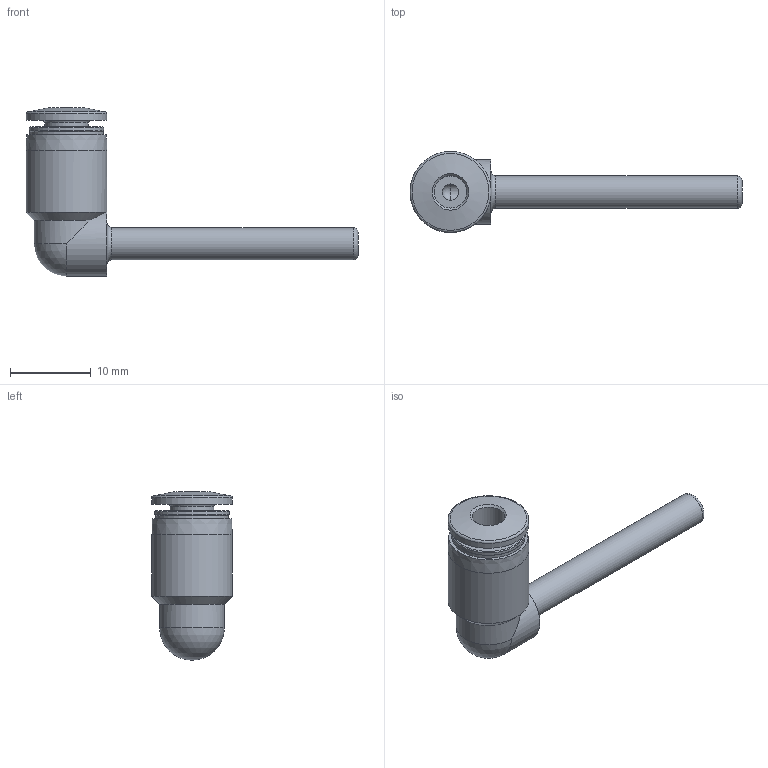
import cadquery as cq
import math


elbow_radius = 4.0
elbow_reach = 5.0

stem_radius = 2.0
stem_end = 36.0
stem_round = 0.6

body_radius = 5.0
body_cone_bottom = 2.9
body_cone_top = body_cone_bottom + body_radius - elbow_radius
body_straight_top = 11.5
body_top = 13.45
body_top_radius = 4.9
body_bulge_z = (body_straight_top + body_top) / 2
body_bulge_radius = body_radius - (body_radius - body_top_radius) / 4

collar_radius = 4.6
collar_lower_radius = 4.52
collar_step = collar_radius - collar_lower_radius
collar_lower_top = 13.85
collar_top = 14.44
collar_chamfer = 0.12

neck_radius = 2.7
button_radius = 5.0
button_bottom = 15.28
button_top = 16.79
button_rim_top = 16.28
button_rim_round = 0.25
neck_round = 0.35

tube_bore_radius = 2.0
tube_bore_floor = body_cone_top
mouth_chamfer = 0.25
passage_radius = 1.0


def round_point(center_x, center_y, radius, angle_degrees):
    """Point on a circular round at the given angle from the first axis."""
    angle = math.radians(angle_degrees)
    return center_x + radius * math.cos(angle), center_y + radius * math.sin(angle)


def make_bend(radius, top, reach):
    """Vertical and horizontal cylinders meeting in a spherical outer corner."""
    vertical = cq.Workplane("XY").circle(radius).extrude(top)
    horizontal = cq.Workplane("YZ").circle(radius).extrude(reach)
    return vertical.union(horizontal).union(cq.Workplane("XY").sphere(radius))


def make_body():
    """Socket body with a conical base and a slightly bulged upper end."""
    profile = (
        cq.Workplane("XZ")
        .moveTo(0, body_cone_bottom)
        .lineTo(elbow_radius, body_cone_bottom)
        .lineTo(body_radius, body_cone_top)
        .lineTo(body_radius, body_straight_top)
        .threePointArc((body_bulge_radius, body_bulge_z), (body_top_radius, body_top))
        .lineTo(0, body_top)
        .close()
    )
    return profile.revolve(360, (0, 0, 0), (0, 1, 0))


def make_collar():
    """Stepped ring standing out of the body mouth."""
    profile = (
        cq.Workplane("XZ")
        .moveTo(0, body_top)
        .lineTo(collar_lower_radius, body_top)
        .lineTo(collar_lower_radius, collar_lower_top)
        .lineTo(collar_radius, collar_lower_top + collar_step)
        .lineTo(collar_radius, collar_top - collar_chamfer)
        .lineTo(collar_radius - collar_chamfer, collar_top)
        .lineTo(0, collar_top)
        .close()
    )
    return profile.revolve(360, (0, 0, 0), (0, 1, 0))


def make_button():
    """Release button: neck, concave round, rounded rim and conical top."""
    rim_center_radius = button_radius - button_rim_round
    rim_round_bottom = button_rim_top - button_rim_round
    neck_round_bottom = button_bottom - neck_round
    neck_round_center = neck_radius + neck_round
    profile = (
        cq.Workplane("XZ")
        .moveTo(0, collar_top)
        .lineTo(neck_radius, collar_top)
        .lineTo(neck_radius, neck_round_bottom)
        .threePointArc(
            round_point(neck_round_center, neck_round_bottom, neck_round, 135),
            (neck_round_center, button_bottom),
        )
        .lineTo(button_radius, button_bottom)
        .lineTo(button_radius, rim_round_bottom)
        .threePointArc(
            round_point(rim_center_radius, rim_round_bottom, button_rim_round, 45),
            (rim_center_radius, button_rim_top),
        )
        .lineTo(tube_bore_radius + mouth_chamfer, button_top)
        .lineTo(0, button_top)
        .close()
    )
    return profile.revolve(360, (0, 0, 0), (0, 1, 0))


def make_stem():
    """Plug-in stem with a concave root round and a rounded free end."""
    root_end = elbow_reach + stem_round
    root_radius = stem_radius + stem_round
    tip_start = stem_end - stem_round
    tip_radius = stem_radius - stem_round
    profile = (
        cq.Workplane("XZ")
        .moveTo(elbow_reach, 0)
        .lineTo(elbow_reach, root_radius)
        .threePointArc(
            round_point(root_end, root_radius, stem_round, 225),
            (root_end, stem_radius),
        )
        .lineTo(tip_start, stem_radius)
        .threePointArc(
            round_point(tip_start, tip_radius, stem_round, 45),
            (stem_end, tip_radius),
        )
        .lineTo(stem_end, 0)
        .close()
    )
    return profile.revolve(360, (0, 0, 0), (1, 0, 0))


def make_tube_bore():
    """Flat-floored tube bore with a chamfered mouth."""
    profile = (
        cq.Workplane("XZ")
        .moveTo(0, tube_bore_floor)
        .lineTo(tube_bore_radius, tube_bore_floor)
        .lineTo(tube_bore_radius, button_top - mouth_chamfer)
        .lineTo(tube_bore_radius + mouth_chamfer, button_top)
        .lineTo(0, button_top)
        .close()
    )
    return profile.revolve(360, (0, 0, 0), (0, 1, 0))


socket = make_body().union(make_collar()).union(make_button())
elbow = make_bend(elbow_radius, body_cone_bottom, elbow_reach).union(make_stem())
outside = socket.union(elbow)

passage = make_bend(passage_radius, tube_bore_floor, stem_end)

result = outside.cut(make_tube_bore()).cut(passage)